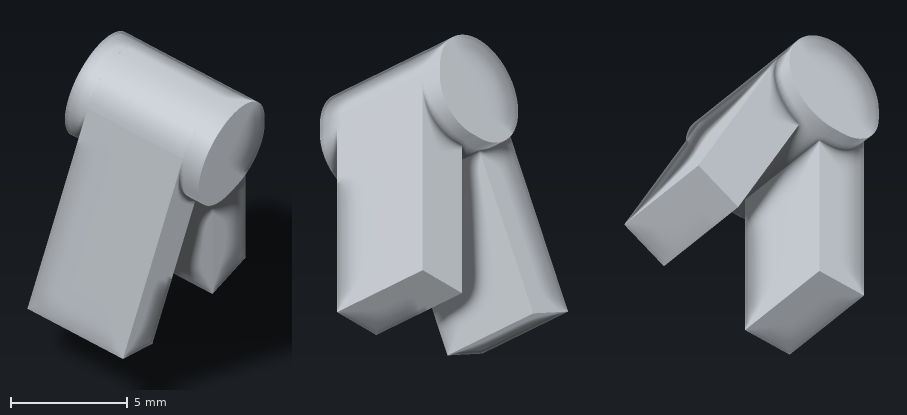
import cadquery as cq

knuckle_radius = 2.5
end_knuckle_corner_radius = 2.0
pin_radius = 1.5
leaf_width = 5.0
end_knuckle_width = 1.0
leaf_length = 10.0
opening_angle = 27.05

leaf_thickness = knuckle_radius
half_leaf_width = leaf_width / 2
total_width = leaf_width + 2 * end_knuckle_width
hanging_angle = 90.0


def cylinder_along_x(radius, start_x, width):
    """Round bar on the hinge axis, starting at start_x."""
    return cq.Workplane("YZ").workplane(offset=start_x).circle(radius).extrude(width)


def make_plate(side):
    """Flat leaf reaching along -Y from the axis, above (+1) or below (-1) the XY plane."""
    middle_y = -leaf_length / 2
    middle_z = side * leaf_thickness / 2
    return (
        cq.Workplane("XY")
        .box(leaf_width, leaf_length, leaf_thickness)
        .translate((0, middle_y, middle_z))
    )


def turn_about_axis(body, angle):
    """Swing a body about the hinge axis."""
    return body.rotate((0, 0, 0), (1, 0, 0), angle)


def make_end_knuckle(start_x):
    """Disc whose quarter over the fixed leaf is filled out to a rounded square corner."""
    corner_block = (
        cq.Workplane("YZ")
        .workplane(offset=start_x)
        .rect(-knuckle_radius, -knuckle_radius, centered=False)
        .extrude(end_knuckle_width)
        .edges("|X and <Y and <Z")
        .fillet(end_knuckle_corner_radius)
    )
    return cylinder_along_x(knuckle_radius, start_x, end_knuckle_width).union(corner_block)


def make_pin():
    """Plain pin, flush with the outer faces of the end knuckles."""
    return cylinder_along_x(pin_radius, -total_width / 2, total_width)


def make_middle_knuckle():
    """Round knuckle between the two end knuckles."""
    return cylinder_along_x(knuckle_radius, -half_leaf_width, leaf_width)


def make_fixed_leaf(pin):
    """Vertical leaf, hollowed around the middle knuckle and carrying the two end knuckles."""
    leaf = make_plate(side=-1).cut(make_middle_knuckle())
    for start_x in (-total_width / 2, half_leaf_width):
        leaf = leaf.union(make_end_knuckle(start_x))
    return turn_about_axis(leaf, hanging_angle).cut(pin)


def make_swinging_leaf(pin):
    """Tilted leaf with the middle knuckle."""
    leaf = make_plate(side=1).union(make_middle_knuckle())
    return turn_about_axis(leaf, hanging_angle - opening_angle).cut(pin)


pin = make_pin()
fixed_leaf = make_fixed_leaf(pin)
swinging_leaf = make_swinging_leaf(pin)

result = cq.Compound.makeCompound([pin.val(), *fixed_leaf.vals(), *swinging_leaf.vals()])